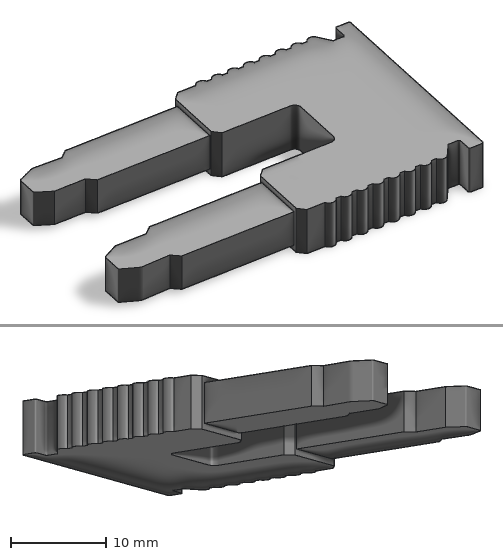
import cadquery as cq
import math

length = 43.8
width = 25.6
body_thickness = 5.8
half_width = width / 2

body_length = 22.8
body_end = length - body_length
body_chamfer = 0.85

flange_thickness = 1.85
notch_depth = 1.85
notch_bottom = length - 3.3
flange_rounding = 0.2

ridge_count = 8
ridge_span = 14.0
ridge_pitch = ridge_span / (ridge_count - 1)
ridge_height = 0.45
ridge_half_chord = 0.7
ridge_radius = (ridge_half_chord**2 + ridge_height**2) / (2 * ridge_height)
first_ridge_y = length - 5.0
ramp_end_above_ridge = 0.5

slot_half_width = 3.85
slot_top = length - 12.55
slot_rounding = 0.8

prong_thickness = 4.4
prong_outer = 11.13
prong_inner = 4.95
shoulder_y = 6.85
shoulder_step = 0.85
neck_y = 5.85
neck_taper = 0.15
nose_outer_y = 2.2
nose_inner_y = 1.95
nose_inset = 1.05
nose_rounding = 1.1
tip_rounding = 0.2


def ridge_x(offset):
    """Half width of the body at a Y offset from a ridge centre."""
    return half_width - ridge_radius + math.sqrt(ridge_radius**2 - offset**2)


def round_corners(solid, corners, radius):
    """Fillet the vertical edges that stand at the given XY corners."""
    for x, y in corners:
        solid = solid.edges(cq.selectors.NearestToPointSelector((x, y, 0))).fillet(radius)
    return solid


def make_body_half():
    """Right half of the body, with all its ridges and half of the slot."""
    root_x = half_width - ridge_height
    notch_x = half_width - notch_depth
    flange_bottom = length - flange_thickness

    outline = (
        cq.Workplane("XY")
        .moveTo(0, length)
        .lineTo(half_width, length)
        .lineTo(half_width, flange_bottom)
        .lineTo(notch_x, flange_bottom)
        .lineTo(notch_x, notch_bottom)
    )
    for index in range(ridge_count):
        ridge_y = first_ridge_y - index * ridge_pitch
        rise = ramp_end_above_ridge if index == 0 else ridge_half_chord
        outline = outline.lineTo(ridge_x(rise), ridge_y + rise).threePointArc(
            (half_width, ridge_y), (root_x, ridge_y - ridge_half_chord)
        )
    half = (
        outline.lineTo(root_x, body_end + body_chamfer)
        .lineTo(root_x - body_chamfer, body_end)
        .lineTo(slot_half_width + body_chamfer, body_end)
        .lineTo(slot_half_width, body_end + body_chamfer)
        .lineTo(slot_half_width, slot_top)
        .lineTo(0, slot_top)
        .close()
        .extrude(body_thickness / 2, both=True)
    )
    flange_corners = [(half_width, length), (half_width, flange_bottom), (notch_x, flange_bottom)]
    half = round_corners(half, flange_corners, flange_rounding)
    return round_corners(half, [(slot_half_width, slot_top)], slot_rounding)


def make_prong():
    """Right contact prong: shank, shoulders, neck and tapered nose."""
    neck_outer = prong_outer - shoulder_step
    nose_outer = neck_outer + neck_taper
    neck_inner = prong_inner + shoulder_step
    tip_outer = nose_outer - nose_inset
    tip_inner = neck_inner + nose_inset
    points = [
        (prong_outer, body_end),
        (prong_outer, shoulder_y),
        (neck_outer, neck_y),
        (nose_outer, nose_outer_y),
        (tip_outer, 0),
        (tip_inner, 0),
        (neck_inner, nose_inner_y),
        (neck_inner, neck_y),
        (prong_inner, shoulder_y),
        (prong_inner, body_end),
    ]
    prong = cq.Workplane("XY").polyline(points).close().extrude(prong_thickness / 2, both=True)
    prong = round_corners(prong, [(nose_outer, nose_outer_y)], nose_rounding)
    return round_corners(prong, [(tip_outer, 0), (tip_inner, 0)], tip_rounding)


right_half = make_body_half().union(make_prong())
result = right_half.union(right_half.mirror("YZ"))